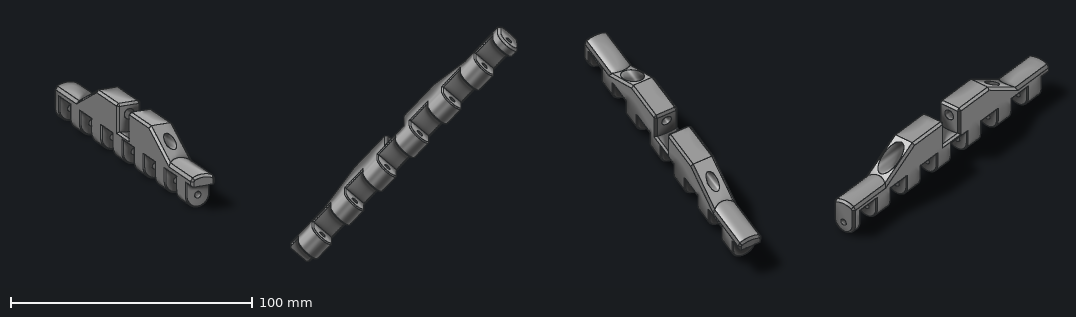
import cadquery as cq
import math

length = 130.0
width = 10.9
height = 25.5
edge_chamfer = 1.0

pin_height = width / 2
pin_hole_diameter = 2.9
crown_radius = 10.5
knuckle_pitch = 20.0
gap_count = 7
gap_width = 10.5
first_gap_center = 9.8
gap_ceiling = 11.2
gap_chamfer = 0.5

hump_center = 64.9
hump_top_length = 49.9
slope_angle = 30.0
slot_width = 10.0
slot_floor_edge = 13.5
slot_floor_radius = 19.5
hump_base = 12.0

screw_height = 20.5
screw_hole_diameter = 4.5
head_bore_diameter = 8.0
head_bore_end = 45.5

select_margin = 0.1

hump_top_start = hump_center - hump_top_length / 2
hump_top_end = hump_center + hump_top_length / 2
slot_start = hump_center - slot_width / 2
slot_end = hump_center + slot_width / 2


def rod(diameter, z, x_start, x_end):
    """Cylinder along X on the middle plane."""
    return cq.Workplane("YZ", origin=(x_start, 0, z)).circle(diameter / 2).extrude(x_end - x_start)


def box_around(x_start, x_end, z_low, z_high):
    """Selector for items whose centres lie in a range of X and Z, limits included."""
    low = (x_start - select_margin, -width, z_low - select_margin)
    high = (x_end + select_margin, width, z_high + select_margin)
    return cq.selectors.BoxSelector(low, high)


def plain_bar():
    """Bar with a round underside and a gently crowned top, both centred on the pin."""
    half = width / 2
    crown_edge = pin_height + math.sqrt(crown_radius**2 - half**2)
    bar = (
        cq.Workplane("YZ")
        .moveTo(-half, pin_height)
        .threePointArc((0, 0), (half, pin_height))
        .lineTo(half, crown_edge)
        .threePointArc((0, pin_height + crown_radius), (-half, crown_edge))
        .close()
        .extrude(length)
    )
    upper_long_edges = bar.edges("|X").edges(">Z")
    end_edges = bar.faces("<X or >X").edges()
    return bar.newObject(upper_long_edges.vals() + end_edges.vals()).chamfer(edge_chamfer)


def cut_gaps(bar):
    """Cut the gaps between the knuckles; the last gap runs out of the bar end."""
    for index in range(gap_count):
        center = first_gap_center + index * knuckle_pitch
        gap = cq.Workplane("XY").box(gap_width, 2 * width, gap_ceiling, centered=(True, True, False))
        bar = bar.cut(gap.translate((center, 0, 0)))
        at_gap = box_around(center - gap_width / 2, center + gap_width / 2, 0, gap_ceiling)
        wall_edges = bar.faces("|X").faces(at_gap).edges("not |Y")
        ceiling_edges = bar.faces("|Z").faces(at_gap).edges("|X")
        bar = bar.newObject(wall_edges.vals() + ceiling_edges.vals()).chamfer(gap_chamfer)
    return bar


def hump():
    """Raised middle with chamfered edges, split by a slot with a hollow floor."""
    slope_run = (height - hump_base) / math.tan(math.radians(slope_angle))
    block = (
        cq.Workplane("XZ")
        .moveTo(hump_top_start - slope_run, hump_base)
        .lineTo(hump_top_start, height)
        .lineTo(hump_top_end, height)
        .lineTo(hump_top_end + slope_run, hump_base)
        .close()
        .extrude(width / 2, both=True)
    )
    half = width / 2
    floor_middle = slot_floor_edge - slot_floor_radius + math.sqrt(slot_floor_radius**2 - half**2)
    slot = (
        cq.Workplane("YZ", origin=(slot_start, 0, 0))
        .moveTo(-half, height)
        .lineTo(-half, slot_floor_edge)
        .threePointArc((0, floor_middle), (half, slot_floor_edge))
        .lineTo(half, height)
        .close()
        .extrude(slot_width)
    )
    block = block.cut(slot)
    side_edges = block.faces("|Y").edges("not <Z")
    wall_tops = block.edges("|Y").edges(box_around(slot_start, slot_end, height, height))
    return block.newObject(side_edges.vals() + wall_tops.vals()).chamfer(edge_chamfer)


bar = cut_gaps(plain_bar())
hump_room = cq.Workplane("XY").box(hump_top_length, width, height, centered=(True, True, False))
bar = bar.cut(hump_room.translate((hump_center, 0, hump_base)))

result = bar.union(hump())
result = result.cut(rod(pin_hole_diameter, pin_height, 0, length))
result = result.cut(rod(screw_hole_diameter, screw_height, 0, length))
result = result.cut(rod(head_bore_diameter, screw_height, 0, head_bore_end))